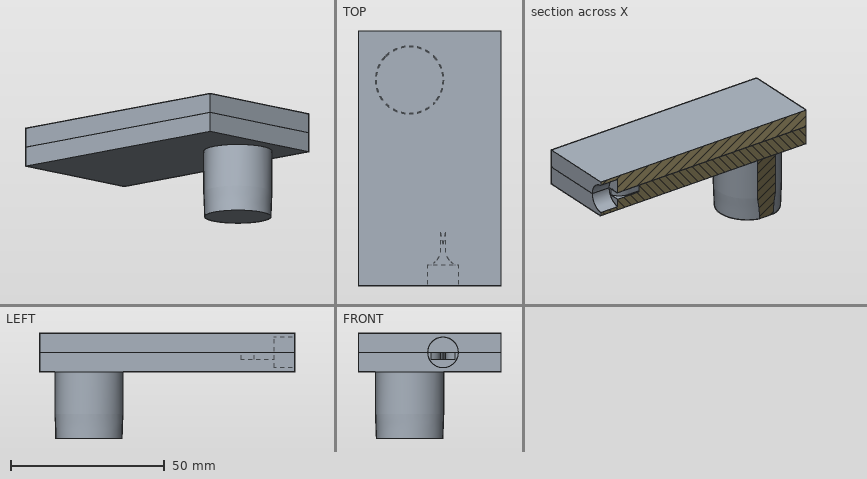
import cadquery as cq
import math

plate_width = 46.5
plate_length = 83.0
total_height = 34.4
plate_thickness = 6.3

port_diameter = 10.0
port_depth = 6.8
port_x = 4.3

channel_depth = 2.2
mouth_half_width = 3.9
throat_half_width = 0.8
bevel_width = 0.8
bevel_angle = 35.0
throat_length = 1.7
splitter_length = 4.15

motor_diameter = 22.25
motor_end_diameter = 21.7
motor_x = -6.55
motor_edge_distance = 16.0
motor_end_height = 8.0

motor_y = plate_length / 2 - motor_edge_distance
motor_height = total_height - 2 * plate_thickness
port_end_y = -plate_length / 2 + port_depth


def make_plate(bottom_z):
    """Plain rectangular plate standing on the given height."""
    return (
        cq.Workplane("XY", origin=(0, 0, bottom_z))
        .rect(plate_width, plate_length)
        .extrude(plate_thickness)
    )


def make_port():
    """Blind round bore, half of it in each plate."""
    return (
        cq.Workplane("XZ", origin=(port_x, -plate_length / 2, 0))
        .circle(port_diameter / 2)
        .extrude(-port_depth)
    )


def make_channel():
    """Channel that narrows in a trumpet curve to a throat with a pointed splitter."""
    start_angle = math.radians(bevel_angle)
    middle_angle = (start_angle + math.pi / 2) / 2
    curve_half_width = mouth_half_width - bevel_width

    curve_radius = (curve_half_width - throat_half_width) / (1 - math.sin(start_angle))
    center_x = throat_half_width + curve_radius
    curve_start_y = bevel_width * math.tan(start_angle)
    center_y = curve_start_y + curve_radius * math.cos(start_angle)
    middle_x = center_x - curve_radius * math.sin(middle_angle)
    middle_y = center_y - curve_radius * math.cos(middle_angle)

    splitter_tip_y = center_y + throat_length
    throat_end_y = splitter_tip_y + splitter_length
    return (
        cq.Workplane("XY", origin=(port_x, port_end_y, 0))
        .moveTo(-mouth_half_width, 0)
        .lineTo(-curve_half_width, curve_start_y)
        .threePointArc((-middle_x, middle_y), (-throat_half_width, center_y))
        .lineTo(-throat_half_width, throat_end_y)
        .lineTo(0, splitter_tip_y)
        .lineTo(throat_half_width, throat_end_y)
        .lineTo(throat_half_width, center_y)
        .threePointArc((middle_x, middle_y), (curve_half_width, curve_start_y))
        .lineTo(mouth_half_width, 0)
        .close()
        .extrude(-channel_depth)
    )


def make_motor():
    """Cylinder with a slightly tapered lower end."""
    radius = motor_diameter / 2
    end_radius = motor_end_diameter / 2
    return (
        cq.Workplane("XZ", origin=(motor_x, motor_y, -plate_thickness))
        .polyline([
            (0, 0),
            (radius, 0),
            (radius, motor_end_height - motor_height),
            (end_radius, -motor_height),
            (0, -motor_height),
        ])
        .close()
        .revolve(360, (0, 0, 0), (0, 1, 0))
    )


port = make_port()
upper_plate = make_plate(0).cut(port)
lower_plate = make_plate(-plate_thickness).cut(port).cut(make_channel())
motor = make_motor()

result = cq.Compound.makeCompound([upper_plate.val(), lower_plate.val(), motor.val()])